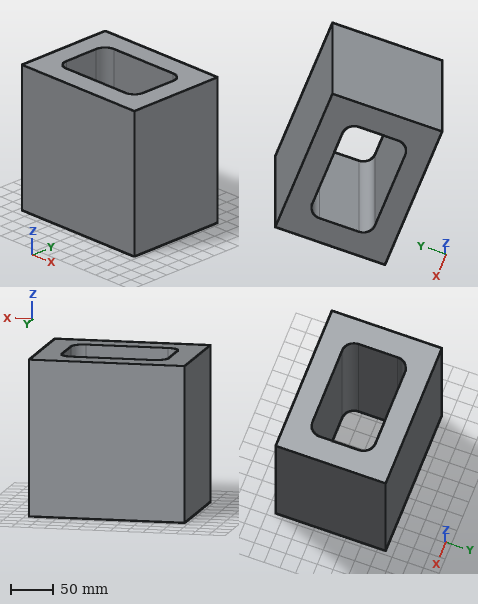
import cadquery as cq

length = 190.0
width = 140.0
height = 190.0

wall = 30.0
corner_radius = 15.0

block = cq.Workplane("XY").box(length, width, height)

opening = (
    cq.Workplane("XY")
    .box(length - 2 * wall, width - 2 * wall, height)
    .edges("|Z")
    .fillet(corner_radius)
)

result = block.cut(opening)